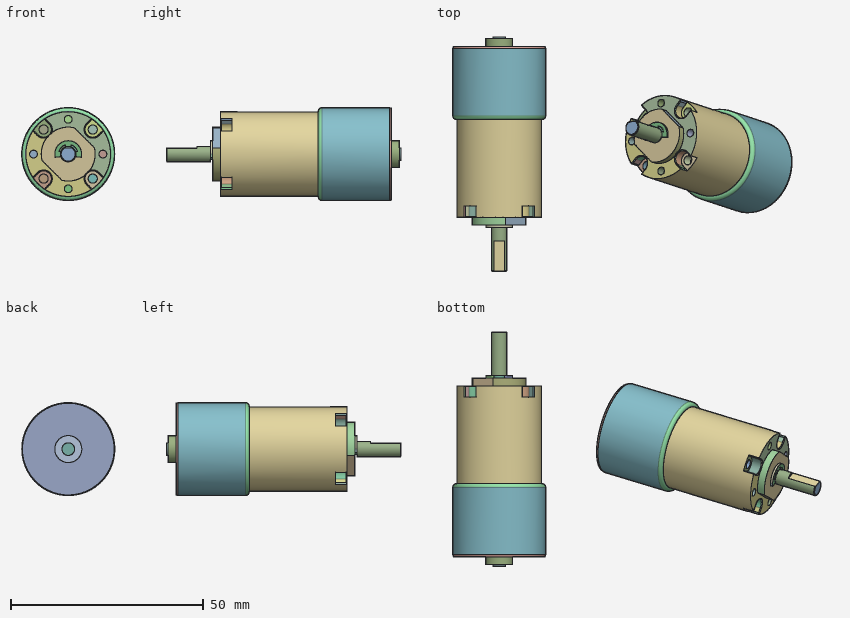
import cadquery as cq
import math

total_length = 60.95

can_diameter = 24.2
can_length = 19.0
can_front_fillet = 1.0
can_rear_bevel_length = 0.55
can_rear_bevel_depth = 0.2
body_diameter = 22.0

bearing_diameter = 7.0
bearing_length = 2.1
rear_pin_diameter = 3.3
rear_pin_length = 0.4

boss_diameter = 14.0
boss_height = 2.0
boss_flat_distance = 6.0
boss_flat_angle = 45

shaft_diameter = 4.0
shaft_length = 14.0
shaft_chamfer = 0.2
flat_length = 7.9
flat_height = 1.5
groove_diameter = 2.9
clip_diameter = 6.95
clip_thickness = 0.6
clip_end_drop = 0.85
clip_mouth_drop = 0.6
clip_window_diameter = 5.0
clip_finger_half_width = 0.7
clip_arm_top = 0.7

hole_pitch_radius = 9.0
small_hole_diameter = 2.0
small_hole_depth = 3.0
screw_hole_diameter = 2.4
screw_hole_depth = 3.0
pocket_width = 4.0
pocket_depth = 3.0
pocket_bevel = 0.25
rim_bevel_length = 0.5
pocket_angle = 45
bevel_angle = 45

can_radius = can_diameter / 2
body_length = total_length - shaft_length - can_length - bearing_length - rear_pin_length
can_rear = body_length + can_length
bearing_rear = can_rear + bearing_length
clip_front = -boss_height - clip_thickness


def disc(diameter, front, length):
    """Cylinder on the Y axis, from Y = front towards +Y."""
    plane = cq.Workplane("XZ", origin=(0, front, 0))
    return plane.circle(diameter / 2).extrude(-length)


def make_can():
    profile = (
        cq.Workplane("XY")
        .moveTo(0, body_length)
        .lineTo(can_radius, body_length)
        .lineTo(can_radius, can_rear - can_rear_bevel_length)
        .lineTo(can_radius - can_rear_bevel_depth, can_rear)
        .lineTo(0, can_rear)
        .close()
    )
    can = profile.revolve(360, (0, 0, 0), (0, 1, 0))
    return can.faces("<Y").edges().fillet(can_front_fillet)


def screw_pocket():
    """Round-bottomed slot open to the rim, bevelled at the mouth and rim, with a screw hole in its floor."""
    def slot(half_width):
        return (
            cq.Workplane("XZ")
            .moveTo(body_diameter, half_width)
            .lineTo(hole_pitch_radius, half_width)
            .threePointArc((hole_pitch_radius - half_width, 0), (hole_pitch_radius, -half_width))
            .lineTo(body_diameter, -half_width)
            .close()
        )

    half_width = pocket_width / 2
    straight = slot(half_width).extrude(-pocket_depth)
    mouth = slot(half_width + pocket_bevel).extrude(-pocket_bevel, taper=bevel_angle)
    rim_position = math.sqrt((body_diameter / 2) ** 2 - half_width ** 2)
    flare_start = rim_position - rim_bevel_length
    flare_width = half_width + pocket_bevel
    flare = (
        cq.Workplane("XZ")
        .moveTo(flare_start, half_width)
        .lineTo(rim_position, flare_width)
        .lineTo(body_diameter, flare_width)
        .lineTo(body_diameter, -flare_width)
        .lineTo(rim_position, -flare_width)
        .lineTo(flare_start, -half_width)
        .close()
        .extrude(-pocket_depth)
    )
    hole = disc(screw_hole_diameter, pocket_depth, screw_hole_depth).translate((hole_pitch_radius, 0, 0))
    return straight.union(mouth).union(flare).union(hole)


def make_body():
    body = disc(body_diameter, 0, body_length)
    pocket = screw_pocket()
    small_hole = disc(small_hole_diameter, 0, small_hole_depth).translate((hole_pitch_radius, 0, 0))
    for angle in (0, 90, 180, 270):
        body = body.cut(small_hole.rotate((0, 0, 0), (0, 1, 0), angle))
        body = body.cut(pocket.rotate((0, 0, 0), (0, 1, 0), angle + pocket_angle))
    return body


def make_boss():
    boss = disc(boss_diameter, -boss_height, boss_height)
    slab = cq.Workplane("XY").box(2 * boss_flat_distance, 2 * boss_height, 2 * boss_diameter)
    return boss.intersect(slab.rotate((0, 0, 0), (0, 1, 0), -boss_flat_angle))


def make_shaft():
    shaft = disc(shaft_diameter, -shaft_length, shaft_length + clip_front)
    shaft = shaft.faces("<Y").edges().chamfer(shaft_chamfer)
    flat_cutter = (
        cq.Workplane("XY", origin=(0, -shaft_length, flat_height))
        .box(shaft_diameter, flat_length, shaft_diameter, centered=(True, False, False))
    )
    groove = disc(groove_diameter, clip_front, clip_thickness)
    return shaft.cut(flat_cutter).union(groove)


def make_clip():
    """E-shaped clip: a rim over the top with two side arms and a centre finger."""
    radius = clip_diameter / 2
    mouth = groove_diameter / 2
    outline = cq.Workplane("XZ", origin=(0, clip_front, 0))
    clip = (
        outline.moveTo(-mouth, -clip_mouth_drop)
        .lineTo(-radius, -clip_end_drop)
        .lineTo(-radius, 0)
        .threePointArc((0, radius), (radius, 0))
        .lineTo(radius, -clip_end_drop)
        .lineTo(mouth, -clip_mouth_drop)
        .close()
        .extrude(-clip_thickness)
    )
    window_disc = disc(clip_window_diameter, clip_front, clip_thickness)
    for side in (-1, 1):
        quadrant = (
            cq.Workplane("XY")
            .box(radius, clip_thickness, radius, centered=(True, False, False))
            .translate((side * (clip_finger_half_width + radius / 2), clip_front, clip_arm_top))
        )
        clip = clip.cut(window_disc.intersect(quadrant))
    return clip


result = (
    make_body()
    .union(make_can())
    .union(disc(bearing_diameter, can_rear, bearing_length))
    .union(disc(rear_pin_diameter, bearing_rear, rear_pin_length))
    .union(make_boss())
    .union(make_clip())
    .union(make_shaft())
)